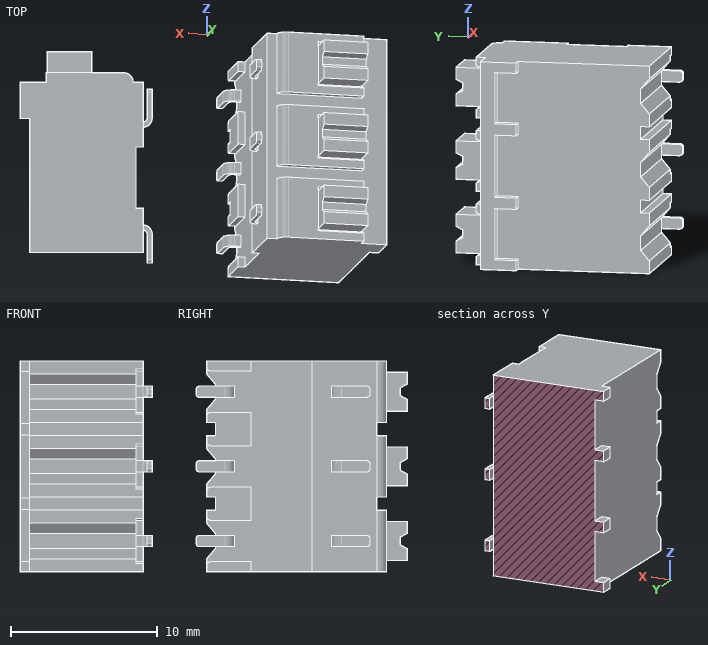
import cadquery as cq

POLE_COUNT = 3
PITCH = 5.08
HEIGHT = 14.36
POLE_CENTRES = [PITCH * (i - (POLE_COUNT - 1) / 2) for i in range(POLE_COUNT)]
GAP_CENTRES = [PITCH * (i + 1 - POLE_COUNT / 2) for i in range(POLE_COUNT - 1)]

TOTAL_WIDTH = 9.0
FLANGE_THICKNESS = 0.64
BODY_WIDTH = 7.74
BODY_DEPTH = 11.6
HEAD_START = 1.13
HEAD_END = 7.06
HEAD_DEPTH = 0.65
HEAD_BACK = BODY_DEPTH + HEAD_DEPTH

FOOT_THICKNESS = 0.48
FOOT_ROOT = BODY_WIDTH - FOOT_THICKNESS
RELIEF_START = 3.03
RELIEF_END = 7.17

FLANGE_FRONT = 9.12
RAIL_FRONT = 10.58
END_TAB_HEIGHT = 0.71
MIDDLE_TAB_HEIGHT = 0.78

GROOVE_DEPTH = 0.6
GROOVE_MOUTH_HALF = 1.21
GROOVE_FLOOR_HALF = 0.5
GAP_HEIGHT = 0.88

SLOT_HALF = 1.4
SLOT_MOUTH_HALF = 1.53
SLOT_BEVEL_DEPTH = 0.25

PLUNGER_START = 1.19
PLUNGER_LENGTH = 3.06
PLUNGER_HALF = 1.33
PLUNGER_BACK = 13.67
PLUNGER_NOTCH_DEPTH = 0.48
NOTCH_MOUTH_HALF = 0.52
NOTCH_FLOOR_HALF = 0.26
HEAD_SLOT_END = PLUNGER_START + PLUNGER_LENGTH + (PLUNGER_START - HEAD_START)

PIN_FRONT = -0.71
PIN_LENGTH = 2.6
PIN_WIDTH = 0.78
PIN_THICKNESS = 0.36
PIN_BEND_OUTER = 0.65
PIN_BEND_INNER = PIN_BEND_OUTER - PIN_THICKNESS
PIN_TIP_RADIUS = 0.23
PIN_OUTER_X = TOTAL_WIDTH - FLANGE_THICKNESS
REAR_PIN_TIP = 11.12
PIN_EMBED = 0.5


def box(x_range, y_range, z_range):
    """Box spanning the given (low, high) ranges."""
    lows, highs = zip(x_range, y_range, z_range)
    size = [high - low for low, high in zip(lows, highs)]
    return cq.Workplane("XY").box(*size, centered=False).translate(lows)


def centred(middle, height):
    """Z range of the given height about a middle."""
    return (middle - height / 2, middle + height / 2)


def extrude_along_x(yz_points, x_range):
    """Prism with a YZ outline, running along X."""
    length = x_range[1] - x_range[0]
    return cq.Workplane("YZ").polyline(yz_points).close().extrude(length).translate((x_range[0], 0, 0))


def make_housing():
    """Main block with the stepped, rounded head and the feet."""
    outline = (
        cq.Workplane("XY")
        .moveTo(0, 0)
        .lineTo(BODY_WIDTH, 0)
        .lineTo(BODY_WIDTH, RELIEF_START)
        .lineTo(FOOT_ROOT, RELIEF_START)
        .lineTo(FOOT_ROOT, RELIEF_END)
        .lineTo(BODY_WIDTH, RELIEF_END)
        .lineTo(BODY_WIDTH, BODY_DEPTH)
        .lineTo(HEAD_END, BODY_DEPTH)
        .radiusArc((HEAD_END - HEAD_DEPTH, HEAD_BACK), -HEAD_DEPTH)
        .lineTo(HEAD_START, HEAD_BACK)
        .lineTo(HEAD_START, BODY_DEPTH)
        .lineTo(0, BODY_DEPTH)
        .close()
    )
    return outline.extrude(HEIGHT / 2, both=True)


def make_flange():
    """Rail with forward tabs at both ends and between the poles."""
    x_range = (-FLANGE_THICKNESS, 0)
    tab_depths = (FLANGE_FRONT, BODY_DEPTH)
    flange = box(x_range, (RAIL_FRONT, BODY_DEPTH), centred(0, HEIGHT))
    for side in (-1, 1):
        tab_centre = side * (HEIGHT - END_TAB_HEIGHT) / 2
        flange = flange.union(box(x_range, tab_depths, centred(tab_centre, END_TAB_HEIGHT)))
    for z in GAP_CENTRES:
        flange = flange.union(box(x_range, tab_depths, centred(z, MIDDLE_TAB_HEIGHT)))
    return flange


def make_front_groove(z):
    """Tapered groove across the front face."""
    points = [
        (0, z - GROOVE_MOUTH_HALF),
        (GROOVE_DEPTH, z - GROOVE_FLOOR_HALF),
        (GROOVE_DEPTH, z + GROOVE_FLOOR_HALF),
        (0, z + GROOVE_MOUTH_HALF),
    ]
    return extrude_along_x(points, (0, BODY_WIDTH))


def make_bevelled_slot(z, mouth_y, floor_y, x_range):
    """Slot entering at mouth_y and ending at floor_y, with its mouth bevelled."""
    inward = 1 if floor_y > mouth_y else -1
    bevel_y = mouth_y + inward * SLOT_BEVEL_DEPTH
    points = [
        (mouth_y, z - SLOT_MOUTH_HALF),
        (bevel_y, z - SLOT_HALF),
        (floor_y, z - SLOT_HALF),
        (floor_y, z + SLOT_HALF),
        (bevel_y, z + SLOT_HALF),
        (mouth_y, z + SLOT_MOUTH_HALF),
    ]
    return extrude_along_x(points, x_range)


def make_gap_cuts(z):
    """Gaps between two poles, in the front face and right through the head."""
    x_range = (0, BODY_WIDTH)
    front = box(x_range, (0, GROOVE_DEPTH), centred(z, GAP_HEIGHT))
    return front.union(box(x_range, (BODY_DEPTH, HEAD_BACK), centred(z, GAP_HEIGHT)))


def make_plunger(z):
    """Block standing out of the head, with a tapered notch in its end."""
    notch_floor = PLUNGER_BACK - PLUNGER_NOTCH_DEPTH
    points = [
        (BODY_DEPTH, z - PLUNGER_HALF),
        (PLUNGER_BACK, z - PLUNGER_HALF),
        (PLUNGER_BACK, z - NOTCH_MOUTH_HALF),
        (notch_floor, z - NOTCH_FLOOR_HALF),
        (notch_floor, z + NOTCH_FLOOR_HALF),
        (PLUNGER_BACK, z + NOTCH_MOUTH_HALF),
        (PLUNGER_BACK, z + PLUNGER_HALF),
        (BODY_DEPTH, z + PLUNGER_HALF),
    ]
    return extrude_along_x(points, (PLUNGER_START, PLUNGER_START + PLUNGER_LENGTH))


def make_front_pin():
    """Pin centred on Z = 0, leaving the housing along +X and turning toward -Y."""
    start_x = FOOT_ROOT - PIN_EMBED
    bend_x = PIN_OUTER_X - PIN_BEND_OUTER
    inner_x = PIN_OUTER_X - PIN_THICKNESS
    outer_y = PIN_FRONT + PIN_LENGTH
    inner_y = outer_y - PIN_THICKNESS
    bend_y = outer_y - PIN_BEND_OUTER
    pin = (
        cq.Workplane("XY")
        .moveTo(start_x, inner_y)
        .lineTo(bend_x, inner_y)
        .radiusArc((inner_x, bend_y), PIN_BEND_INNER)
        .lineTo(inner_x, PIN_FRONT)
        .lineTo(PIN_OUTER_X, PIN_FRONT)
        .lineTo(PIN_OUTER_X, bend_y)
        .radiusArc((bend_x, outer_y), -PIN_BEND_OUTER)
        .lineTo(start_x, outer_y)
        .close()
        .extrude(PIN_WIDTH / 2, both=True)
    )
    return pin.faces("<Y").edges("|X").fillet(PIN_TIP_RADIUS)


def make_pin_pair(z):
    """Front pin and its mirror image at the rear, at one pole."""
    front = make_front_pin()
    rear = front.mirror("XZ").translate((0, PIN_FRONT + REAR_PIN_TIP, 0))
    return front.translate((0, 0, z)).union(rear.translate((0, 0, z)))


result = make_housing().union(make_flange())
for gap_z in GAP_CENTRES:
    result = result.cut(make_gap_cuts(gap_z))
for pole_z in POLE_CENTRES:
    result = result.cut(make_front_groove(pole_z))
    result = result.cut(make_bevelled_slot(pole_z, 0, RELIEF_START, (FOOT_ROOT, BODY_WIDTH)))
    result = result.cut(make_bevelled_slot(pole_z, HEAD_BACK, BODY_DEPTH, (HEAD_START, HEAD_SLOT_END)))
    result = result.union(make_plunger(pole_z))
    result = result.union(make_pin_pair(pole_z))